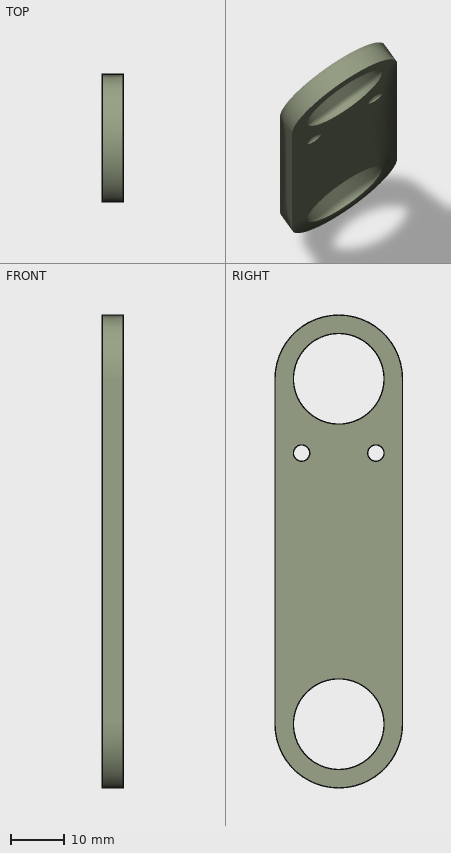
import cadquery as cq

length = 89.0
width = 24.0
thickness = 4.0
end_spacing = length - width

large_hole_diameter = 17.0
small_hole_diameter = 3.0
small_hole_spacing = 14.0
small_hole_drop = 14.0

upper_center_z = end_spacing / 2
small_hole_z = upper_center_z - small_hole_drop


def through_cylinders(diameter, centers):
    """Cylinders along X, spanning the plate thickness, at (y, z) centres."""
    return (
        cq.Workplane("YZ")
        .pushPoints(centers)
        .circle(diameter / 2)
        .extrude(thickness / 2, both=True)
    )


plate = (
    cq.Workplane("YZ")
    .slot2D(length, width, angle=90)
    .extrude(thickness / 2, both=True)
)

large_holes = through_cylinders(
    large_hole_diameter,
    [(0, side * upper_center_z) for side in (-1, 1)],
)

small_holes = through_cylinders(
    small_hole_diameter,
    [(side * small_hole_spacing / 2, small_hole_z) for side in (-1, 1)],
)

result = plate.cut(large_holes).cut(small_holes)